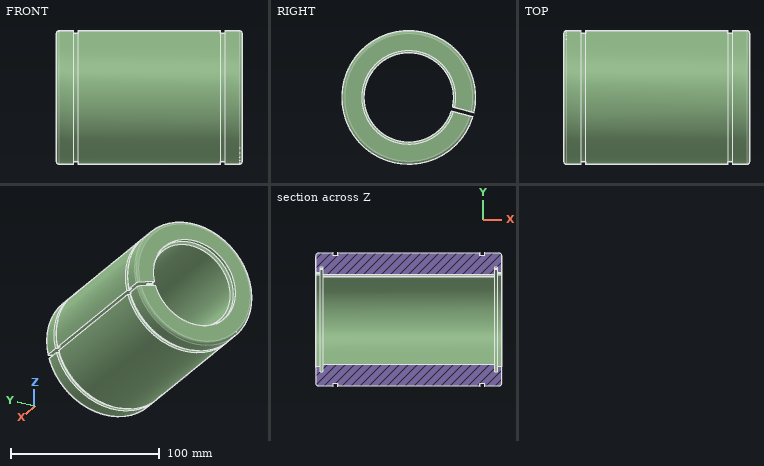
import cadquery as cq

length = 125.0
outer_diameter = 90.0
bore_diameter = 60.0
edge_radius = 2.0

groove_diameter = 86.5
groove_width = 3.1
groove_outer_span = 101.8

recess_diameter = 63.0
recess_depth = 3.0

undercut_diameter = 70.0
undercut_width = 1.8

slit_width = 2.8
slit_angle = 15.0


def disc(diameter, thickness, center_x):
    """Solid disc on the X axis, centred at center_x."""
    start = center_x - thickness / 2
    return cq.Workplane("YZ", origin=(start, 0, 0)).circle(diameter / 2).extrude(thickness)


def retaining_groove(center_x):
    """Ring that cuts a snap-ring groove into the outer surface."""
    core = disc(groove_diameter, groove_width, center_x)
    return disc(outer_diameter, groove_width, center_x).cut(core)


sleeve = disc(outer_diameter, length, 0).edges("%CIRCLE").fillet(edge_radius)

sleeve = sleeve.cut(disc(bore_diameter, length, 0))

groove_offset = (groove_outer_span - groove_width) / 2
recess_offset = (length - recess_depth) / 2
undercut_offset = length / 2 - recess_depth - undercut_width / 2
for side in (-1, 1):
    sleeve = sleeve.cut(retaining_groove(side * groove_offset))
    sleeve = sleeve.cut(disc(recess_diameter, recess_depth, side * recess_offset))
    sleeve = sleeve.cut(disc(undercut_diameter, undercut_width, side * undercut_offset))

slit = (
    cq.Workplane("XY")
    .box(length, outer_diameter, slit_width)
    .translate((0, outer_diameter / 2, 0))
    .rotate((0, 0, 0), (1, 0, 0), -slit_angle)
)
result = sleeve.cut(slit)